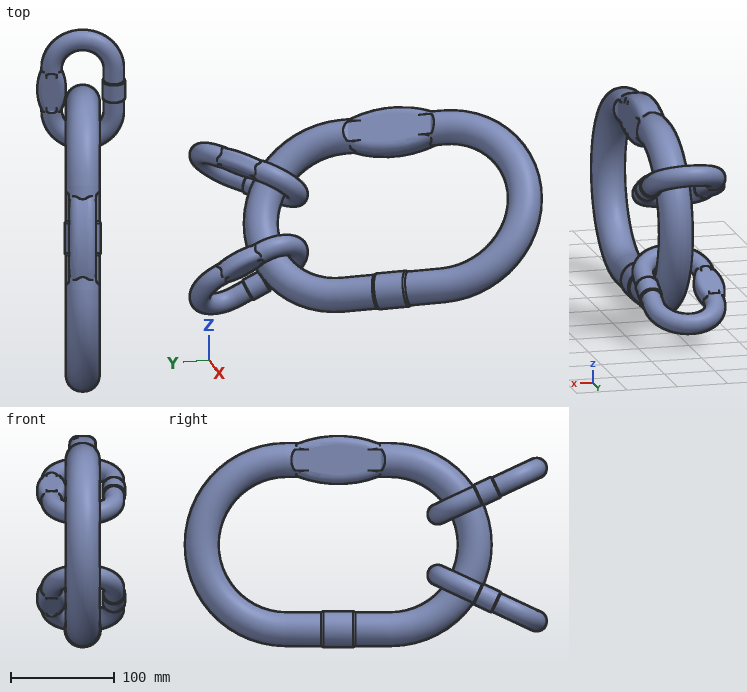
import cadquery as cq
import math

MASTER_WIRE = 33.0
MASTER_INNER_LENGTH = 230.0
MASTER_INNER_WIDTH = 130.0
MASTER_SWELL_WIDTH = 46.68
MASTER_SWELL_THICKNESS = 26.0
MASTER_SWELL_RADIUS = 106.0
MASTER_SWELL_LENGTH = 86.0
MASTER_FLAT_LENGTH = 81.0
MASTER_RUNOUT_RADIUS = 3.0
MASTER_SLEEVE_LENGTH = 33.0
MASTER_SLEEVE_TAPER = 2.3

SMALL_WIRE = 20.0
SMALL_INNER_LENGTH = 85.0
SMALL_INNER_WIDTH = 40.0
SMALL_SWELL_WIDTH = 27.82
SMALL_SWELL_THICKNESS = 17.4
SMALL_SWELL_RADIUS = 48.0
SMALL_SWELL_LENGTH = 44.0
SMALL_FLAT_LENGTH = 37.5
SMALL_RUNOUT_RADIUS = 1.8
SMALL_SLEEVE_LENGTH = 20.0
SMALL_SLEEVE_TAPER = 1.0

RUNOUT_SLOPE = 45.0
SLEEVE_HEIGHT = 1.0

SMALL_TILT = 25.0
SMALL_CENTRE_Y = 143.49
SMALL_CENTRE_Z = 51.5


def oval_ring(wire, inner_length, inner_width):
    """Round wire bent to an oval in the XY plane, long along Y."""
    bend = (inner_width + wire) / 2
    half_straight = (inner_length - inner_width) / 2
    path = (
        cq.Workplane("XY")
        .moveTo(bend, 0)
        .lineTo(bend, half_straight)
        .threePointArc((0, half_straight + bend), (-bend, half_straight))
        .lineTo(-bend, -half_straight)
        .threePointArc((0, -half_straight - bend), (bend, -half_straight))
        .close()
    )
    return cq.Workplane("XZ", origin=(bend, 0, 0)).circle(wire / 2).sweep(path)


def swell(width, thickness, arc_radius, length):
    """Barrel-shaped swelling about the Y axis, with flat faces at +Z and -Z."""
    half_length = length / 2
    arc_drop = arc_radius - math.sqrt(arc_radius**2 - half_length**2)
    side = width / 2
    end_side = side - arc_drop
    corner_radius = thickness / 3
    return (
        cq.Workplane("XY")
        .moveTo(-end_side, -half_length)
        .threePointArc((-side, 0), (-end_side, half_length))
        .lineTo(end_side, half_length)
        .threePointArc((side, 0), (end_side, -half_length))
        .close()
        .extrude(thickness / 2, both=True)
        .edges("%CIRCLE")
        .fillet(corner_radius)
    )


def flat_cutter(wire, thickness, flat_length, runout_radius):
    """Block that cuts the wire down to a flat at +Z, sloping out at each end."""
    half_length = flat_length / 2
    flat_height = thickness / 2
    block_height = wire / 2
    tangent_length = runout_radius * math.tan(math.radians(RUNOUT_SLOPE / 2))
    half_base = half_length + tangent_length
    half_top = half_base + block_height / math.tan(math.radians(RUNOUT_SLOPE))
    return (
        cq.Workplane("YZ")
        .polyline([
            (-half_base, flat_height),
            (half_base, flat_height),
            (half_top, flat_height + block_height),
            (-half_top, flat_height + block_height),
        ])
        .close()
        .extrude(wire / 2, both=True)
        .edges("|X and <Z")
        .fillet(runout_radius)
    )


def weld_sleeve(wire, length, taper):
    """Collar about the Y axis, tapering down to the wire at both ends."""
    half_length = length / 2
    wire_radius = wire / 2
    sleeve_radius = wire_radius + SLEEVE_HEIGHT
    return (
        cq.Workplane("XY")
        .polyline([
            (0, -half_length),
            (wire_radius, -half_length),
            (sleeve_radius, taper - half_length),
            (sleeve_radius, half_length - taper),
            (wire_radius, half_length),
            (0, half_length),
        ])
        .close()
        .revolve(360, (0, 0, 0), (0, 1, 0))
    )


def make_link(wire, inner_length, inner_width, swell_width, swell_thickness, swell_radius, swell_length,
              flat_length, runout_radius, sleeve_length, sleeve_taper):
    """Complete link in the XY plane: swelling on the -X arm, weld sleeve on the +X arm."""
    arm_x = (inner_width + wire) / 2
    link = oval_ring(wire, inner_length, inner_width)
    cutter = flat_cutter(wire, swell_thickness, flat_length, runout_radius)
    cutter = cutter.translate((-arm_x, 0, 0))
    link = link.cut(cutter).cut(cutter.mirror("XY"))
    body = swell(swell_width, swell_thickness, swell_radius, swell_length)
    link = link.union(body.translate((-arm_x, 0, 0)))
    sleeve = weld_sleeve(wire, sleeve_length, sleeve_taper)
    return link.union(sleeve.translate((arm_x, 0, 0)))


master_link = make_link(
    wire=MASTER_WIRE,
    inner_length=MASTER_INNER_LENGTH,
    inner_width=MASTER_INNER_WIDTH,
    swell_width=MASTER_SWELL_WIDTH,
    swell_thickness=MASTER_SWELL_THICKNESS,
    swell_radius=MASTER_SWELL_RADIUS,
    swell_length=MASTER_SWELL_LENGTH,
    flat_length=MASTER_FLAT_LENGTH,
    runout_radius=MASTER_RUNOUT_RADIUS,
    sleeve_length=MASTER_SLEEVE_LENGTH,
    sleeve_taper=MASTER_SLEEVE_TAPER,
).rotate((0, 0, 0), (0, 1, 0), 90)

small_link = make_link(
    wire=SMALL_WIRE,
    inner_length=SMALL_INNER_LENGTH,
    inner_width=SMALL_INNER_WIDTH,
    swell_width=SMALL_SWELL_WIDTH,
    swell_thickness=SMALL_SWELL_THICKNESS,
    swell_radius=SMALL_SWELL_RADIUS,
    swell_length=SMALL_SWELL_LENGTH,
    flat_length=SMALL_FLAT_LENGTH,
    runout_radius=SMALL_RUNOUT_RADIUS,
    sleeve_length=SMALL_SLEEVE_LENGTH,
    sleeve_taper=SMALL_SLEEVE_TAPER,
)
connecting_links = [
    small_link.rotate((0, 0, 0), (1, 0, 0), side * SMALL_TILT)
    .translate((0, SMALL_CENTRE_Y, side * SMALL_CENTRE_Z))
    for side in (1, -1)
]

result = cq.Compound.makeCompound([master_link.val(), *[link.val() for link in connecting_links]])